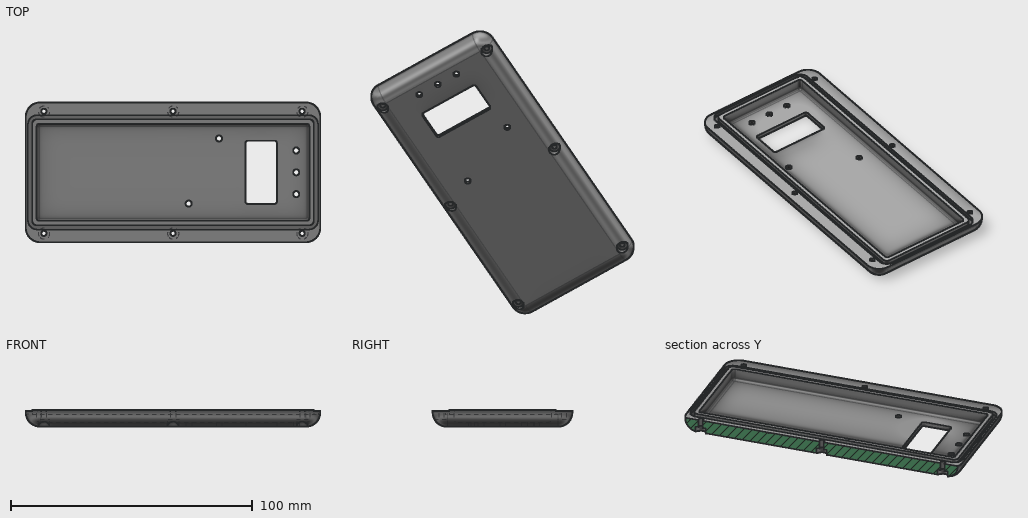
import cadquery as cq

length = 122.0
width = 58.0
height = 7.0
lip_rise = 0.4
body_height = height - lip_rise
corner_radius = 6.1
bottom_fillet = 6.0

lip_length = 116.6
lip_width = 43.9
lip_corner_radius = 2.1
lip_thickness = 1.8
groove_width = 1.7
groove_depth = 1.5
floor_thickness = 2.0
cavity_corner_radius = 1.2
cavity_floor_fillet = 1.1

screw_diameter = 2.1
screw_head_diameter = 4.6
screw_head_depth = 3.0
screw_spacing_x = 53.4
screw_offset_y = 25.3

window_length = 12.9
window_width = 26.1
window_center_x = 36.5
window_corner_radius = 1.0
floor_hole_diameter = 2.5
indicator_x = 51.0
indicator_pitch = 9.0
mounting_points = [(19.0, 14.0), (6.5, -12.9)]


def rounded_block(size_x, size_y, bottom, top, radius):
    """Centred block with rounded vertical edges, between two heights."""
    block = cq.Workplane("XY").workplane(offset=bottom).rect(size_x, size_y).extrude(top - bottom)
    return block.edges("|Z").fillet(radius)


def pins(points, diameter, pin_height):
    """Vertical cylinders rising from the underside, used as hole cutters."""
    return cq.Workplane("XY").pushPoints(points).circle(diameter / 2).extrude(pin_height)


def make_shell():
    """Rounded tray with a raised lip standing in a shallow groove."""
    body = rounded_block(length, width, 0, body_height, corner_radius)
    body = body.faces("<Z").edges().fillet(bottom_fillet)

    groove = rounded_block(
        lip_length + 2 * groove_width,
        lip_width + 2 * groove_width,
        body_height - groove_depth,
        height,
        lip_corner_radius + groove_width,
    )
    lip = rounded_block(lip_length, lip_width, body_height - groove_depth, height, lip_corner_radius)

    cavity = rounded_block(
        lip_length - 2 * lip_thickness,
        lip_width - 2 * lip_thickness,
        floor_thickness,
        height,
        cavity_corner_radius,
    )
    cavity = cavity.faces("<Z").edges().fillet(cavity_floor_fillet)
    return body.cut(groove).union(lip).cut(cavity)


def cut_screw_holes(part):
    """Counterbored holes, with the screw heads recessed into the underside."""
    points = [
        (x, y)
        for x in (-screw_spacing_x, 0, screw_spacing_x)
        for y in (-screw_offset_y, screw_offset_y)
    ]
    part = part.cut(pins(points, screw_diameter, height))
    return part.cut(pins(points, screw_head_diameter, screw_head_depth))


def cut_floor_openings(part):
    """Display window, a column of indicator holes and two mounting holes."""
    window = rounded_block(window_length, window_width, 0, height, window_corner_radius)
    indicators = [(indicator_x, row * indicator_pitch) for row in (-1, 0, 1)]
    part = part.cut(window.translate((window_center_x, 0, 0)))
    return part.cut(pins(indicators + mounting_points, floor_hole_diameter, height))


result = cut_floor_openings(cut_screw_holes(make_shell()))